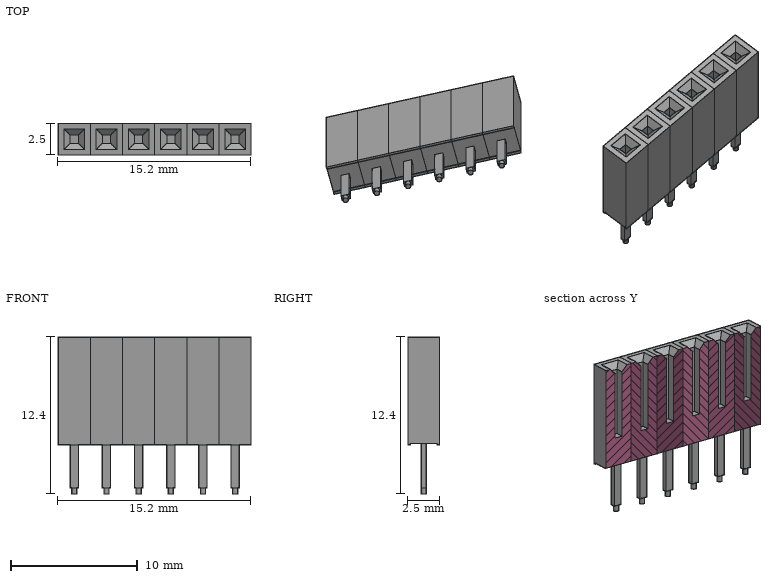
import cadquery as cq

contact_count = 6
pitch = 2.54

housing_depth = 2.5
housing_height = 8.5
foot_width = 0.2
foot_height = 0.1

socket_width = 0.64
lead_in_depth = 0.5
lead_in_width = socket_width + 2 * lead_in_depth
socket_depth = 6.0

blade_width = 0.67
tip_diameter = 0.42
blade_thickness = tip_diameter
pin_length = 3.9
tip_length = 0.5


def make_housing():
    """Rectangular block whose underside is relieved between two long feet."""
    block = cq.Workplane("XY").box(pitch, housing_depth, housing_height, centered=(True, True, False))
    relief = cq.Workplane("XY").box(
        pitch, housing_depth - 2 * foot_width, foot_height, centered=(True, True, False)
    )
    return block.cut(relief)


def make_socket_cavity():
    """Volume removed from the top of the housing."""
    hole = (
        cq.Workplane("XY")
        .workplane(offset=housing_height - socket_depth)
        .rect(socket_width, socket_width)
        .extrude(socket_depth)
    )
    lead_in = (
        cq.Workplane("XY")
        .workplane(offset=housing_height - lead_in_depth)
        .rect(socket_width, socket_width)
        .workplane(offset=lead_in_depth)
        .rect(lead_in_width, lead_in_width)
        .loft(ruled=True)
    )
    return hole.union(lead_in)


def make_pin():
    """Blade hanging from the relieved underside, with the tip below it."""
    blade_bottom = tip_length - pin_length
    blade = (
        cq.Workplane("XY")
        .workplane(offset=blade_bottom)
        .rect(blade_width, blade_thickness)
        .extrude(foot_height - blade_bottom)
    )
    tip = (
        cq.Workplane("XY")
        .workplane(offset=-pin_length)
        .circle(tip_diameter / 2)
        .extrude(tip_length)
    )
    return blade.union(tip)


def make_contact(center_x):
    """One housing block with its socket and pin, as a single solid."""
    contact = make_housing().cut(make_socket_cavity()).union(make_pin())
    return contact.translate((center_x, 0, 0))


first_center_x = -(contact_count - 1) * pitch / 2
contacts = [make_contact(first_center_x + index * pitch) for index in range(contact_count)]

result = cq.Compound.makeCompound([contact.solids().val() for contact in contacts])